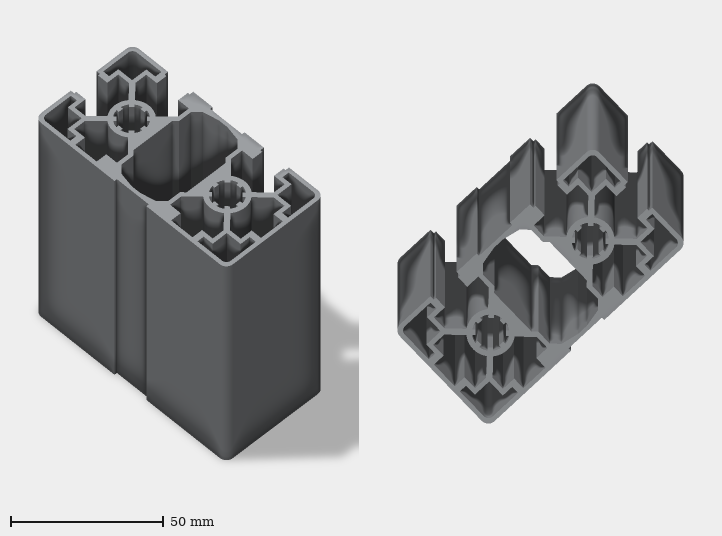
import cadquery as cq

width = 90.0
depth = 45.0
length = 100.0
corner_radius = 3.0
cell_size = depth
cell_half = cell_size / 2
left_x = -(width - cell_size) / 2
right_x = -left_x
wall = 1.6

slot_half = 5.0
mouth_half = 5.9
channel_half = 10.0
lip_depth = 6.0
lip_inner = cell_half - lip_depth
web_offset = 1.5
channel_shoulder = channel_half + web_offset

lip_width = 2.4
chamber_radius = 2.0

ring_radius = 8.0
bore_radius = 6.1
tooth_tip_radius = 5.0
tooth_width = 1.9
tooth_count = 8

chamber_half = right_x - channel_half
chamber_neck_half = chamber_half - wall
neck_start = 8.9
neck_end = 16.0
neck_chamfer = 2.7
crown_height = 20.0
crown_flat_half = 2.0

recess_width = 15.0
recess_depth = 1.1


def prism(points):
    return cq.Workplane("XY").polyline(points).close().extrude(length)


def box(size_x, size_y, x, y):
    return cq.Workplane("XY").center(x, y).rect(size_x, size_y).extrude(length)


def place(shape, angle, x):
    """Turn a shape made around a cell centre, then move it to the cell at x."""
    return shape.rotate((0, 0, 0), (0, 0, 1), angle).translate((x, 0, 0))


def slot_channel():
    """T-slot on the +Y side of a cell, closed by a thin outer wall."""
    right_side = [
        (slot_half, cell_half - wall),
        (slot_half, lip_inner),
        (channel_half, lip_inner),
        (channel_half, channel_shoulder),
    ]
    ring = cq.Workplane("XY").circle(ring_radius).extrude(length)
    left_side = [(-x, y) for x, y in reversed(right_side)]
    outline = right_side + [(0, web_offset)] + left_side
    return prism(outline).cut(ring)


def slot_mouth():
    """Opening that breaks the +Y wall of a cell through to the slot."""
    return box(2 * mouth_half, wall, 0, cell_half - wall / 2)


def corner_chamber():
    """Hollow in the (+X, +Y) corner of a cell, wrapped around two slots."""
    outer = cell_half - wall
    step = lip_inner + wall
    inner = channel_half + wall
    near = slot_half + lip_width
    chamber = prism([
        (outer, outer),
        (near, outer),
        (near, step),
        (inner, step),
        (inner, inner),
        (step, inner),
        (step, near),
        (outer, near),
    ])
    outer_edge = cq.selectors.NearestToPointSelector((outer, outer, length / 2))
    return chamber.edges(outer_edge).fillet(chamber_radius)


def toothed_bore():
    """Round bore with teeth pointing inwards."""
    bore = cq.Workplane("XY").circle(bore_radius).extrude(length)
    tip_bore = cq.Workplane("XY").circle(tooth_tip_radius).extrude(length)
    tooth = box(bore_radius, tooth_width, tooth_tip_radius + bore_radius / 2, 0)
    for index in range(tooth_count):
        bore = bore.cut(place(tooth, index * 360 / tooth_count, 0))
    return bore.union(tip_bore)


def central_chamber():
    """Large chamber with necked sides and flat-topped, sloping ends."""
    neck_shoulder = neck_start + wall
    quarter = [
        (chamber_half, neck_start),
        (chamber_neck_half, neck_shoulder),
        (chamber_neck_half, neck_end),
        (chamber_neck_half - neck_chamfer, neck_end + neck_chamfer),
        (crown_flat_half, crown_height),
    ]
    upper_half = quarter + [(-x, y) for x, y in reversed(quarter)]
    lower_half = [(-x, -y) for x, y in upper_half]
    return prism(upper_half + lower_half)


body = box(width, depth, 0, 0).edges("|Z").fillet(corner_radius)
body = body.cut(central_chamber())

for side in (-1, 1):
    body = body.cut(box(recess_width, recess_depth, 0, side * (depth - recess_depth) / 2))

all_slots = [(left_x, 0), (left_x, 90), (left_x, 180), (right_x, 0), (right_x, 180), (right_x, 270)]
open_slots = [(left_x, 0), (left_x, 90), (right_x, 0)]
outer_corners = [(left_x, 90), (left_x, 180), (right_x, 0), (right_x, 270)]

for cell_x, turn in all_slots:
    body = body.cut(place(slot_channel(), turn, cell_x))
for cell_x, turn in open_slots:
    body = body.cut(place(slot_mouth(), turn, cell_x))
for cell_x, turn in outer_corners:
    body = body.cut(place(corner_chamber(), turn, cell_x))
for cell_x in (left_x, right_x):
    body = body.cut(place(toothed_bore(), 0, cell_x))

result = body